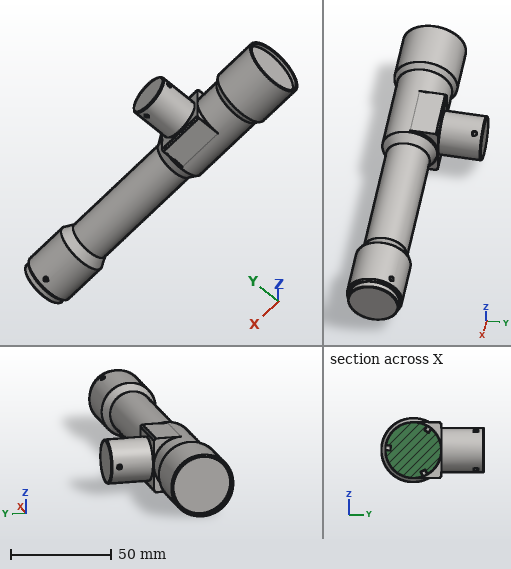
import cadquery as cq
import math

TOTAL_LENGTH = 169.5
HEAD_RADIUS = 32.0 / 2
HEAD_END = 23.9
HEAD_TAPER_END = 27.1
BODY_RADIUS = 28.0 / 2
BODY_END = 68.3
TUBE_RADIUS = 22.2 / 2
TUBE_START = 73.4
TUBE_END = 135.7
COLLAR_START = 141.3
COLLAR_END = 166.0
COLLAR_CHAMFER = 0.8
SPIGOT_RADIUS = 25.5 / 2
SPIGOT_CHAMFER = 0.3

WINDOW_RADIUS = 14.9
WINDOW_DEPTH = 2.0

OVERALL_WIDTH = 51.3
PORT_X = 54.0
PORT_RADIUS = TUBE_RADIUS
PORT_END = OVERALL_WIDTH - HEAD_RADIUS
PORT_CHAMFER = 0.5
BLOCK_LENGTH = 26.1
BLOCK_CHAMFER = 1.0

SCREW_COUNT = 3
SCREW_RADIUS = 1.2
SCREW_DEPTH = 2.5
COLLAR_SCREW_X = 161.3
COLLAR_SCREW_TILT = 5.0
PORT_SCREW_Y = 31.2


def make_barrel():
    """Revolve the stepped and tapered profile about the X axis."""
    profile = [
        (0, 0),
        (0, HEAD_RADIUS),
        (HEAD_END, HEAD_RADIUS),
        (HEAD_TAPER_END, BODY_RADIUS),
        (BODY_END, BODY_RADIUS),
        (TUBE_START, TUBE_RADIUS),
        (TUBE_END, TUBE_RADIUS),
        (COLLAR_START, BODY_RADIUS),
        (COLLAR_END - COLLAR_CHAMFER, BODY_RADIUS),
        (COLLAR_END, BODY_RADIUS - COLLAR_CHAMFER),
        (COLLAR_END, SPIGOT_RADIUS),
        (TOTAL_LENGTH - SPIGOT_CHAMFER, SPIGOT_RADIUS),
        (TOTAL_LENGTH, SPIGOT_RADIUS - SPIGOT_CHAMFER),
        (TOTAL_LENGTH, 0),
    ]
    return cq.Workplane("XY").polyline(profile).close().revolve(360, (0, 0, 0), (1, 0, 0))


def make_block():
    """Rectangular block from the barrel axis out to the port seat."""
    block = cq.Workplane("XY").box(
        BLOCK_LENGTH, BODY_RADIUS, 2 * BODY_RADIUS, centered=(True, False, True)
    )
    return block.edges("|X and >Y").chamfer(BLOCK_CHAMFER).translate((PORT_X, 0, 0))


def make_port():
    """Cylinder from the barrel axis to the chamfered port end."""
    port = cq.Workplane("XZ").circle(PORT_RADIUS).extrude(-PORT_END)
    return port.faces(">Y").edges().chamfer(PORT_CHAMFER).translate((PORT_X, 0, 0))


def make_window_recess():
    return cq.Workplane("YZ").circle(WINDOW_RADIUS).extrude(WINDOW_DEPTH)


def make_radial_hole(centre, direction, surface_radius):
    """Blind screw hole reaching inward from a cylinder surface."""
    floor = cq.Vector(*centre) + direction * (surface_radius - SCREW_DEPTH)
    return cq.Workplane(cq.Solid.makeCylinder(SCREW_RADIUS, 2 * SCREW_DEPTH, floor, direction))


result = make_barrel().union(make_block()).union(make_port()).cut(make_window_recess())

for index in range(SCREW_COUNT):
    spacing = 2 * math.pi * index / SCREW_COUNT

    collar_angle = spacing + math.radians(COLLAR_SCREW_TILT)
    collar_direction = cq.Vector(0, -math.cos(collar_angle), math.sin(collar_angle))
    result = result.cut(make_radial_hole((COLLAR_SCREW_X, 0, 0), collar_direction, BODY_RADIUS))

    port_direction = cq.Vector(-math.cos(spacing), 0, math.sin(spacing))
    result = result.cut(make_radial_hole((PORT_X, PORT_SCREW_Y, 0), port_direction, PORT_RADIUS))